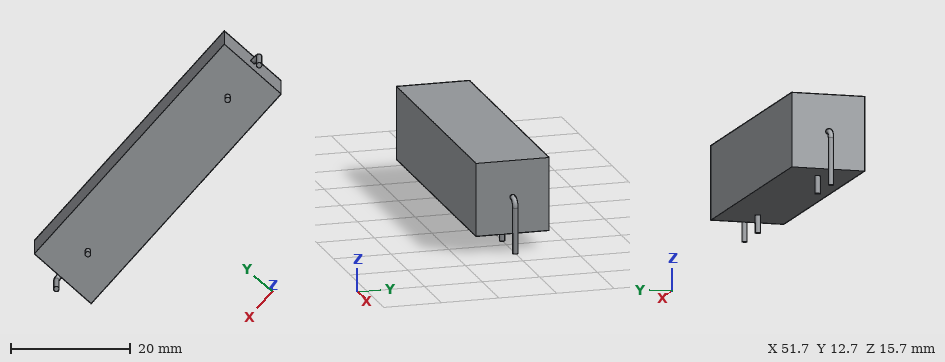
import cadquery as cq

body_length = 47.6
body_width = 12.7
body_height = 12.7

lead_diameter = 0.91
lead_drop = 3.0
end_lead_spacing = 50.8
inner_lead_spacing = 35.0
bend_radius = 1.4
lead_embed = 1.0

lead_radius = lead_diameter / 2
end_lead_height = body_height / 2


def make_body():
    return cq.Workplane("XY").box(
        body_length, body_width, body_height, centered=(True, True, False)
    )


def make_inner_lead(x):
    """Straight lead leaving the underside of the body."""
    return (
        cq.Workplane("XY", origin=(x, 0, -lead_drop))
        .circle(lead_radius)
        .extrude(lead_drop + lead_embed)
    )


def make_left_end_lead():
    """Lead leaving the -X end of the body and bending down."""
    x_drop = -end_lead_spacing / 2
    path = (
        cq.Workplane("XZ")
        .moveTo(x_drop, -lead_drop)
        .lineTo(x_drop, end_lead_height - bend_radius)
        .tangentArcPoint((x_drop + bend_radius, end_lead_height), relative=False)
        .lineTo(-body_length / 2 + lead_embed, end_lead_height)
    )
    return (
        cq.Workplane("XY", origin=(x_drop, 0, -lead_drop))
        .circle(lead_radius)
        .sweep(path)
    )


left_end_lead = make_left_end_lead()
result = make_body().union(left_end_lead).union(left_end_lead.mirror("YZ"))
for side in (-1, 1):
    result = result.union(make_inner_lead(side * inner_lead_spacing / 2))